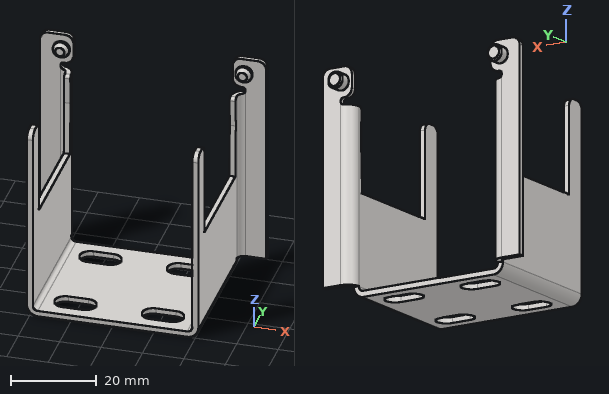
import cadquery as cq

sheet = 1.5
channel_width = 41.4
channel_length = 33.8
base_bend_outer = 2.65
base_bend_inner = base_bend_outer - sheet

front_prong_height = 49.0
front_prong_width = 5.5
front_prong_radius = 2.0
wall_height = 25.55
rear_prong_height = 46.3
rear_prong_top_width = 1.15
rear_prong_waist_width = 0.95
rear_prong_bottom_width = 1.4
rear_prong_waist_height = 38.85
rear_prong_radius = 0.8

total_width = 54.65
total_height = 55.5
flange_bend_inner = 1.6
flange_bend_outer = flange_bend_inner + sheet
flange_bottom = 2.8
tab_radius = 2.0

relief_height = 1.65

pin_x = 22.05
pin_z = 51.7
pin_radius = 2.0
pin_rear_length = 3.05
pin_rear_chamfer = 0.45
pin_front_length = 1.65
pin_tip_length = 1.05
pin_tip_radius = 1.1

slot_length = 10.0
slot_width = 5.1
slot_spacing_x = 21.15
slot_spacing_y = 21.95

wall_outer = channel_width / 2
wall_inner = wall_outer - sheet
flange_outer = total_width / 2
flange_front = channel_length + flange_bend_inner
flange_rear = flange_front + sheet
bend_line_x = wall_outer + flange_bend_inner
relief_middle = rear_prong_height + relief_height / 2


def make_channel():
    """U-shaped channel, full height, with rounded bends along the base."""
    outer = (
        cq.Workplane("XY")
        .box(channel_width, channel_length, front_prong_height, centered=(True, False, False))
        .edges("|Y and <Z")
        .fillet(base_bend_outer)
    )
    inner = (
        cq.Workplane("XY")
        .box(2 * wall_inner, channel_length, front_prong_height, centered=(True, False, False))
        .edges("|Y and <Z")
        .fillet(base_bend_inner)
        .translate((0, 0, sheet))
    )
    return outer.cut(inner)


def cut_wall_outline(channel):
    """Leave a tall prong at the front and a slim one next to the flange."""
    rear_edge_top = channel_length - rear_prong_top_width
    rear_edge_waist = channel_length - rear_prong_waist_width
    rear_edge_bottom = channel_length - rear_prong_bottom_width
    profile = (
        cq.Workplane("YZ")
        .polyline([
            (0, 0),
            (channel_length, 0),
            (channel_length, rear_prong_height),
            (rear_edge_top, rear_prong_height),
            (rear_edge_waist, rear_prong_waist_height),
            (rear_edge_bottom, wall_height),
            (front_prong_width, wall_height),
            (front_prong_width, front_prong_height),
            (0, front_prong_height),
        ])
        .close()
        .extrude(wall_outer, both=True)
    )
    profile = profile.edges("|X and >Z").fillet(front_prong_radius)
    corner = cq.selectors.NearestToPointSelector((0, rear_edge_top, rear_prong_height))
    profile = profile.edges("|X").edges(corner).fillet(rear_prong_radius)
    return channel.intersect(profile)


def make_flange():
    """Right-hand flange: quarter-round bend, flat strip with a wider tab on top, and the relief slot."""
    bend = (
        cq.Workplane("XY", origin=(0, 0, flange_bottom))
        .moveTo(wall_inner, channel_length)
        .radiusArc((bend_line_x, flange_rear), flange_bend_outer)
        .lineTo(bend_line_x, flange_front)
        .radiusArc((wall_outer, channel_length), -flange_bend_inner)
        .close()
        .extrude(relief_middle - flange_bottom)
    )
    strip = (
        cq.Workplane("XY", origin=(bend_line_x, flange_front, flange_bottom))
        .box(flange_outer - bend_line_x, sheet, relief_middle - flange_bottom, centered=False)
    )
    tab = (
        cq.Workplane("XY", origin=(wall_inner, flange_front, relief_middle))
        .box(flange_outer - wall_inner, sheet, total_height - relief_middle, centered=False)
    )
    tab = tab.edges("|Y and >Z").fillet(tab_radius)

    relief_reach = 2 * (bend_line_x - wall_inner)
    relief = (
        cq.Workplane("XZ", origin=(bend_line_x - relief_reach / 2, flange_rear, relief_middle))
        .slot2D(relief_reach, relief_height)
        .extrude(flange_rear - channel_length)
    )
    flange = bend.union(strip).union(tab).cut(relief)
    tab_corner = cq.selectors.NearestToPointSelector(
        (wall_inner, flange_front + sheet / 2, relief_middle + relief_height / 2)
    )
    return flange.edges("|Y").edges(tab_corner).fillet(tab_radius)


def make_pin():
    """Right-hand pin: chamfered at the rear, conical tip at the front."""
    front = flange_front - pin_front_length
    rear = flange_rear + pin_rear_length
    return (
        cq.Workplane("YZ")
        .polyline([
            (front, 0),
            (front, pin_tip_radius),
            (front + pin_tip_length, pin_radius),
            (rear - pin_rear_chamfer, pin_radius),
            (rear, pin_radius - pin_rear_chamfer),
            (rear, 0),
        ])
        .close()
        .revolve(360, (0, 0, 0), (1, 0, 0))
        .translate((pin_x, 0, pin_z))
    )


def make_slots():
    """Four mounting slots through the base, long in X."""
    return (
        cq.Workplane("XY", origin=(0, channel_length / 2, 0))
        .rarray(slot_spacing_x, slot_spacing_y, 2, 2)
        .slot2D(slot_length, slot_width)
        .extrude(sheet)
    )


bracket = cut_wall_outline(make_channel()).cut(make_slots())
side = make_flange().union(make_pin())
result = bracket.union(side).union(side.mirror("YZ"))